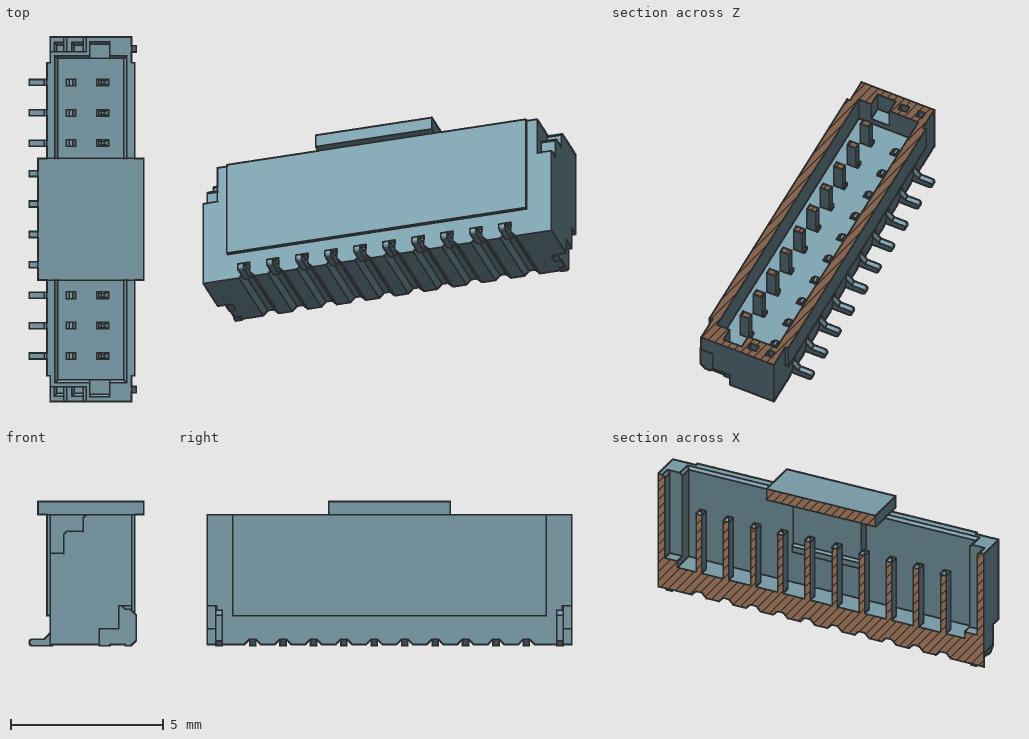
import cadquery as cq

housing_length = 12.0
contact_count = 10
pitch = housing_length / (contact_count + 2)

housing_width = 2.68
housing_bottom = 0.05
housing_top = 4.32
panel_width = 2.89
panel_length = 10.3
panel_bottom = 1.0

cavity_width = 2.17
cavity_length = 10.57
cavity_floor = 0.96
rim_chamfer = 0.1

key_x_min = -0.04
key_x_max = 0.62
key_floor = 1.2
key_end = 5.75

step_wall = 5.51
riser_chamfer = 0.11
low_step_top = 3.05
high_step_top = 3.77
low_riser_x = -0.9
high_riser_x = -0.25
low_core_x = -1.12
high_core_x = -0.54
core_end = 5.72

tab_x_min = 0.28
tab_shoulder_x = 0.91
tab_low_height = 0.56
tab_height = 1.32
tab_face = 5.71
tab_thickness = 0.22
tab_recess_end = 5.69
tab_outer_x = 1.5
tab_foot_rise = 0.06
tab_foot_gap_start = 0.64
tab_foot_gap_end = 1.13
tab_toe_x = 1.32
tab_toe_height = 0.18
tab_crown_drop = 0.12
tab_crown_start = 1.02
tab_crown_end = 1.31
tab_outer_top = 1.01

lead_width = 0.2
lead_tip_x = -2.03
lead_thickness = 0.23
lead_tip_bulge = 0.09
lead_bend_x = -1.54
lead_root_x = -1.18
lead_heel_x = -1.28
bottom_groove_depth = 0.17
lead_slot_end = -1.05
lead_slot_top = lead_thickness + lead_root_x - lead_bend_x

pin_x_min = 0.26
pin_x_max = 0.59
pin_width = 0.22
pin_top = 3.24
pin_tip_height = 0.1
pin_tip_x = 0.4
pin_tip_width = 0.1
pin_foot_x = 0.19
pin_foot_height = 0.11
hump_x_min = -0.82
hump_x_max = -0.49
hump_height = 0.11

cap_width = 3.48
cap_length = 4.01
cap_top = 4.75
leg_thickness = 0.37
leg_length = 2.5
leg_bottom = 2.38
hook_top = 2.66
hook_reach = 0.08

row_positions = [(i - (contact_count - 1) / 2) * pitch for i in range(contact_count)]


def box(x_min, x_max, y_min, y_max, z_min, z_max):
    size = (x_max - x_min, y_max - y_min, z_max - z_min)
    return cq.Workplane("XY").box(*size, centered=False).translate((x_min, y_min, z_min))


def prism_along_y(outline, y_min, y_max):
    """Extrude an X-Z outline from y_min to y_max."""
    prism = cq.Workplane("XZ").polyline(outline).close().extrude(y_min - y_max)
    return prism.translate((0, y_min, 0))


def both_ends(feature):
    return feature.union(feature.mirror("XZ"))


def funnel(x_min, x_max, y_min, y_max, top):
    """Straight recess to the cavity floor with a 45 degree flare around its mouth."""
    flare = (
        cq.Workplane("XY", origin=((x_min + x_max) / 2, (y_min + y_max) / 2, top))
        .rect(x_max - x_min + 2 * rim_chamfer, y_max - y_min + 2 * rim_chamfer)
        .workplane(offset=-rim_chamfer)
        .rect(x_max - x_min, y_max - y_min)
        .loft(ruled=True)
    )
    return box(x_min, x_max, y_min, y_max, cavity_floor, top).union(flare)


def housing_shell():
    half_length = housing_length / 2
    half_width = housing_width / 2
    body = box(-half_width, half_width, -half_length, half_length, housing_bottom, housing_top)
    panel = box(
        -panel_width / 2, panel_width / 2, -panel_length / 2, panel_length / 2, panel_bottom, housing_top
    )
    cavity = funnel(
        -cavity_width / 2, cavity_width / 2, -cavity_length / 2, cavity_length / 2, housing_top
    )
    return body.union(panel).cut(cavity)


def key_slot():
    """Slot at the +Y end of the cavity, with only its end edge chamfered."""
    outline = [
        (0, key_floor),
        (key_end, key_floor),
        (key_end, housing_top - rim_chamfer),
        (key_end + rim_chamfer, housing_top),
        (0, housing_top),
    ]
    slot = cq.Workplane("YZ").polyline(outline).close().extrude(key_x_max - key_x_min)
    return slot.translate((key_x_min, 0, 0))


def corner_steps():
    """Material removed above the two steps in the -X corner of the +Y end."""
    outline = [
        (-housing_width / 2, low_step_top),
        (low_riser_x, low_step_top),
        (low_riser_x, high_step_top - riser_chamfer),
        (low_riser_x + riser_chamfer, high_step_top),
        (high_riser_x, high_step_top),
        (high_riser_x, housing_top - riser_chamfer),
        (high_riser_x + riser_chamfer, housing_top),
        (-housing_width / 2, housing_top),
    ]
    return prism_along_y(outline, step_wall, housing_length / 2)


def step_core(x_min, x_max, top):
    """Recess in one step, flared on its -X and outer sides only."""
    recess = funnel(x_min, x_max, step_wall, core_end, top)
    limit = box(x_min - rim_chamfer, x_max, step_wall, housing_length / 2, cavity_floor, top)
    return recess.intersect(limit)


def tab_recess():
    outline = [
        (tab_x_min, 0),
        (tab_x_min, tab_low_height),
        (tab_shoulder_x, tab_low_height),
        (tab_shoulder_x, tab_height),
        (tab_outer_x, tab_height),
        (tab_outer_x, 0),
    ]
    return prism_along_y(outline, tab_recess_end, housing_length / 2)


def solder_tab():
    outline = [
        (tab_x_min, 0),
        (tab_foot_gap_start, 0),
        (tab_foot_gap_start, tab_foot_rise),
        (tab_foot_gap_end, tab_foot_rise),
        (tab_foot_gap_end, 0),
        (tab_toe_x, 0),
        (tab_outer_x, tab_toe_height),
        (tab_outer_x, tab_outer_top),
        (tab_crown_end, tab_height - tab_crown_drop),
        (tab_crown_start + tab_crown_drop, tab_height - tab_crown_drop),
        (tab_crown_start, tab_height),
        (tab_shoulder_x, tab_height),
        (tab_shoulder_x, tab_low_height),
        (tab_x_min, tab_low_height),
    ]
    return prism_along_y(outline, tab_face - tab_thickness, tab_face)


def lead_slot(y):
    """Slot for one lead in the -X wall."""
    half = lead_width / 2
    return box(-housing_width / 2, lead_slot_end, y - half, y + half, housing_bottom, lead_slot_top)


def bottom_groove(y):
    """Groove across the underside in line with one lead, with sides at 45 degrees."""
    top_half = lead_width / 2
    bottom_half = top_half + bottom_groove_depth
    outline = [
        (y - bottom_half, housing_bottom),
        (y - top_half, housing_bottom + bottom_groove_depth),
        (y + top_half, housing_bottom + bottom_groove_depth),
        (y + bottom_half, housing_bottom),
    ]
    groove = cq.Workplane("YZ").polyline(outline).close().extrude(housing_width)
    return groove.translate((-housing_width / 2, 0, 0))


def lead(y):
    """Lead with a rounded tip, rising at 45 degrees into its slot."""
    profile = (
        cq.Workplane("XZ")
        .moveTo(lead_tip_x + lead_tip_bulge, 0)
        .lineTo(lead_heel_x, 0)
        .lineTo(lead_slot_end, lead_slot_end - lead_heel_x)
        .lineTo(lead_slot_end, lead_slot_top)
        .lineTo(lead_root_x, lead_slot_top)
        .lineTo(lead_bend_x, lead_thickness)
        .lineTo(lead_tip_x + lead_tip_bulge, lead_thickness)
        .threePointArc((lead_tip_x, lead_thickness / 2), (lead_tip_x + lead_tip_bulge, 0))
        .close()
    )
    return profile.extrude(lead_width / 2, both=True).translate((0, y, 0))


def pin(y):
    """Rectangular pin with a pyramid tip, standing on a low foot that reaches toward -X."""
    shaft_top = pin_top - pin_tip_height
    half = pin_width / 2
    shaft_x = (pin_x_min + pin_x_max) / 2
    shaft = box(pin_x_min, pin_x_max, y - half, y + half, cavity_floor, shaft_top)
    tip = (
        cq.Workplane("XY", origin=(shaft_x, y, shaft_top))
        .rect(pin_x_max - pin_x_min, pin_width)
        .workplane(offset=pin_tip_height)
        .center(pin_tip_x - shaft_x, 0)
        .rect(pin_tip_width, pin_tip_width)
        .loft(ruled=True)
    )
    foot = box(pin_foot_x, pin_x_max, y - half, y + half, cavity_floor, cavity_floor + pin_foot_height)
    return shaft.union(tip).union(foot)


def contact_hump(y):
    outline = [
        (hump_x_min, cavity_floor),
        (hump_x_min + hump_height, cavity_floor + hump_height),
        (hump_x_max - hump_height, cavity_floor + hump_height),
        (hump_x_max, cavity_floor),
    ]
    return prism_along_y(outline, y - pin_width / 2, y + pin_width / 2)


def pickup_cap():
    """Flat cap with two hooked legs against the long walls of the cavity."""
    half_width = cap_width / 2
    half_length = cap_length / 2
    cap = box(-half_width, half_width, -half_length, half_length, housing_top, cap_top)
    leg_outer = cavity_width / 2
    leg_inner = leg_outer - leg_thickness
    leg_outline = [
        (leg_outer, housing_top),
        (leg_outer, leg_bottom),
        (leg_inner - hook_reach, leg_bottom),
        (leg_inner - hook_reach, hook_top - hook_reach),
        (leg_inner, hook_top),
        (leg_inner, housing_top),
    ]
    leg = prism_along_y(leg_outline, -leg_length / 2, leg_length / 2)
    return cap.union(leg).union(leg.mirror("YZ"))


result = housing_shell()
result = result.cut(both_ends(key_slot()))
result = result.cut(both_ends(corner_steps()))
result = result.cut(both_ends(step_core(low_core_x, low_riser_x, low_step_top)))
result = result.cut(both_ends(step_core(high_core_x, high_riser_x, high_step_top)))
result = result.cut(both_ends(tab_recess()))
result = result.union(both_ends(solder_tab()))
for position in row_positions:
    result = result.cut(lead_slot(position)).cut(bottom_groove(position))
    result = result.union(lead(position)).union(pin(position)).union(contact_hump(position))
result = result.union(pickup_cap())